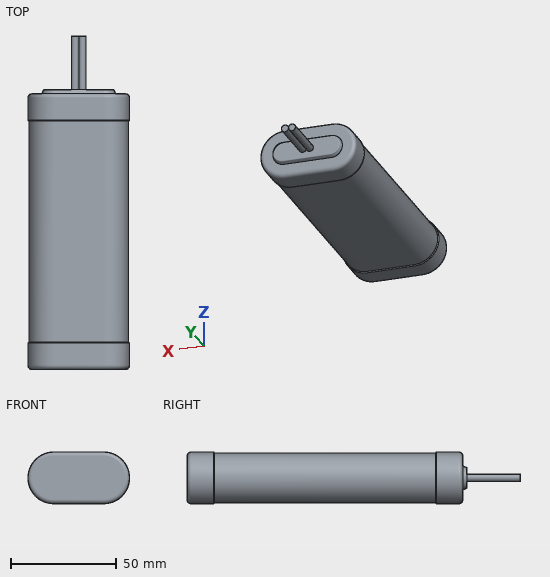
import cadquery as cq

cap_width = 48.26
cap_height = 24.64
overall_length = 158.12

arc_spacing = cap_width - cap_height

wire_diameter = 3.56
wire_length = 25.4
wire_overlap = 0.02
wire_pitch = wire_diameter - wire_overlap

pad_height = 11.4
pad_thickness = 1.9
pad_draft = 22
pad_edge_radius = 0.5

cap_length = 13.0
cap_outer_radius = 2.0
cap_step = 0.5
case_length = overall_length - wire_length - pad_thickness
sleeve_height = cap_height - 2 * cap_step
sleeve_length = case_length - 2 * cap_length

wired_cap_start = sleeve_length / 2
wired_face = wired_cap_start + cap_length
closed_face = -wired_face
pad_face = wired_face + pad_thickness


def racetrack(height, start, length, draft=0):
    """Racetrack block running toward +Y from the given Y station, narrowing by the draft angle."""
    return (
        cq.Workplane("XZ", origin=(0, start, 0))
        .slot2D(arc_spacing + height, height)
        .extrude(-length, taper=draft)
    )


def end_cap(start, outer_face, rim_face):
    """End cap with a rounded outer face and a chamfered rim on the sleeve side."""
    cap = racetrack(cap_height, start, cap_length)
    cap = cap.faces(outer_face).edges().fillet(cap_outer_radius)
    return cap.faces(rim_face).edges().chamfer(cap_step)


def wire_pad():
    """Drafted pad with a rounded top edge."""
    pad = racetrack(pad_height, wired_face, pad_thickness, pad_draft)
    return pad.faces(">Y").edges().fillet(pad_edge_radius)


def lead_wire(x):
    """Round wire running toward +Y from the top of the pad."""
    return (
        cq.Workplane("XZ", origin=(x, pad_face, 0))
        .circle(wire_diameter / 2)
        .extrude(-wire_length)
    )


result = racetrack(sleeve_height, -wired_cap_start, sleeve_length)
result = result.union(end_cap(closed_face, "<Y", ">Y"))
result = result.union(end_cap(wired_cap_start, ">Y", "<Y"))
result = result.union(wire_pad())
for side in (-1, 1):
    result = result.union(lead_wire(side * wire_pitch / 2))